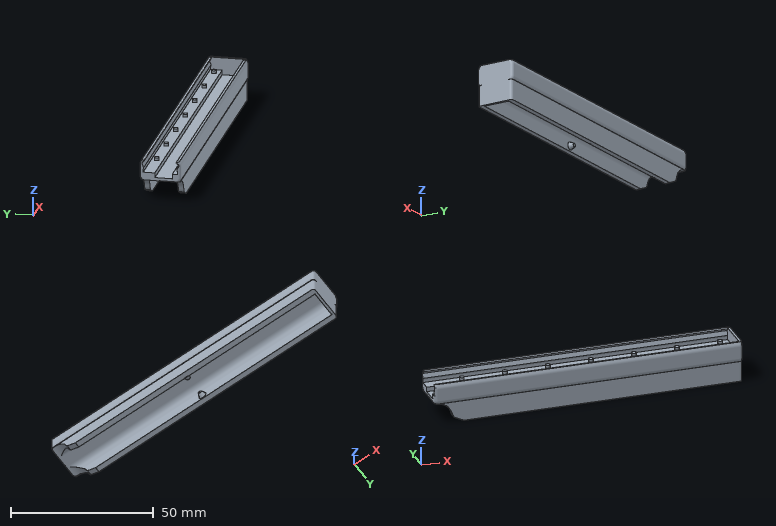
import cadquery as cq
import math

length = 114.0
height = 15.0
half_width = 7.4
end_wall = 1.0
edge_radius = 1.0

tray_bottom = 7.6
upper_corner_z = 13.8
lower_corner_z = 8.2
crest_half_width = 6.7
tray_bottom_half_width = 7.0
shoulder_radius = 1.8

lip_half_opening = 5.7
lip_level = 14.8
snap_groove_half_width = 6.6
snap_groove_level = 13.8
snap_ridge_half_width = 5.9
snap_ridge_level = 12.2
wall_inner_half_width = 6.2
wall_inner_top = 11.4
ledge_level = 10.5
recess_floor = 8.8
recess_left = 1.9
recess_right = -4.3

skirt_half_width = 7.1
skirt_inner_half_width = 5.0
skirt_inner_radius = 2.8
cove_start_x = 0.6
cove_radius = 6.0
cove_end_z = 3.1
nose_x = 7.1
nose_z = 1.7
skirt_bottom_start = 10.6

pin_count = 7
pin_pitch = 16.0
first_pin_x = 13.8
pin_y = 4.2
pin_diameter = 1.7
pin_height = 1.0

stud_x = length / 2
stud_z = 2.0
stud_base_radius = 1.5
stud_middle_radius = 1.0
stud_tip_radius = 0.7
stud_base_height = 1.0
stud_tip_height = 0.7


def mirrored_section(right_side):
    """Close a section, symmetric about Y = 0, from its +Y half listed bottom to top."""
    left_side = [(-y, z) for y, z in reversed(right_side)]
    return cq.Workplane("YZ").polyline(right_side + left_side).close()


def tray_body():
    prism = mirrored_section([
        (tray_bottom_half_width, tray_bottom),
        (half_width, lower_corner_z),
        (half_width, upper_corner_z),
        (crest_half_width, height),
    ]).extrude(length)
    body = prism.edges("|X").edges("<Y or >Y").fillet(shoulder_radius)
    return body.edges("<X or >X").edges("not(|Y)").fillet(edge_radius)


def tray_cavity():
    channel = mirrored_section([
        (wall_inner_half_width, ledge_level),
        (wall_inner_half_width, wall_inner_top),
        (snap_ridge_half_width, snap_ridge_level),
        (snap_groove_half_width, snap_groove_level),
        (lip_half_opening, lip_level),
        (crest_half_width, height),
    ]).extrude(length - end_wall)
    recess = (
        cq.Workplane("XY", origin=(0, recess_right, recess_floor))
        .box(length - end_wall, recess_left - recess_right, ledge_level - recess_floor, centered=False)
    )
    return channel.union(recess)


def skirt():
    cove_center_z = tray_bottom - cove_radius

    def cove_point(z):
        return (cove_start_x + math.sqrt(cove_radius**2 - (z - cove_center_z) ** 2), z)

    cove_mid_z = cove_center_z + cove_radius * math.cos(math.pi / 4)
    solid_skirt = (
        cq.Workplane("XZ", origin=(0, skirt_half_width, 0))
        .moveTo(cove_start_x, tray_bottom)
        .threePointArc(cove_point(cove_mid_z), cove_point(cove_end_z))
        .tangentArcPoint((nose_x, nose_z), relative=False)
        .lineTo(skirt_bottom_start, 0)
        .lineTo(length, 0)
        .lineTo(length, tray_bottom)
        .close()
        .extrude(2 * skirt_half_width)
        .edges("|Z and >X")
        .fillet(edge_radius)
    )
    hollow = (
        cq.Workplane("XY")
        .box(length - end_wall, 2 * skirt_inner_half_width, tray_bottom, centered=(False, True, False))
        .edges("|X and >Z")
        .fillet(skirt_inner_radius)
    )
    return solid_skirt.cut(hollow)


def snap_stud(side):
    """Stud on the inner wall of the skirt, pointing to the middle; side is +1 or -1 along Y."""
    inward = cq.Vector(0, -side, 0)
    wall = cq.Vector(stud_x, side * skirt_inner_half_width, stud_z)
    middle = wall + inward * stud_base_height
    base = cq.Solid.makeCone(stud_base_radius, stud_middle_radius, stud_base_height, wall, inward)
    tip = cq.Solid.makeCone(stud_middle_radius, stud_tip_radius, stud_tip_height, middle, inward)
    return base.fuse(tip)


def pins():
    spots = [(first_pin_x + i * pin_pitch, pin_y) for i in range(pin_count)]
    return (
        cq.Workplane("XY", origin=(0, 0, ledge_level))
        .pushPoints(spots)
        .circle(pin_diameter / 2)
        .extrude(pin_height)
    )


part = tray_body().cut(tray_cavity()).union(skirt()).union(pins())
for side in (1, -1):
    part = part.union(snap_stud(side))

result = part.solids()